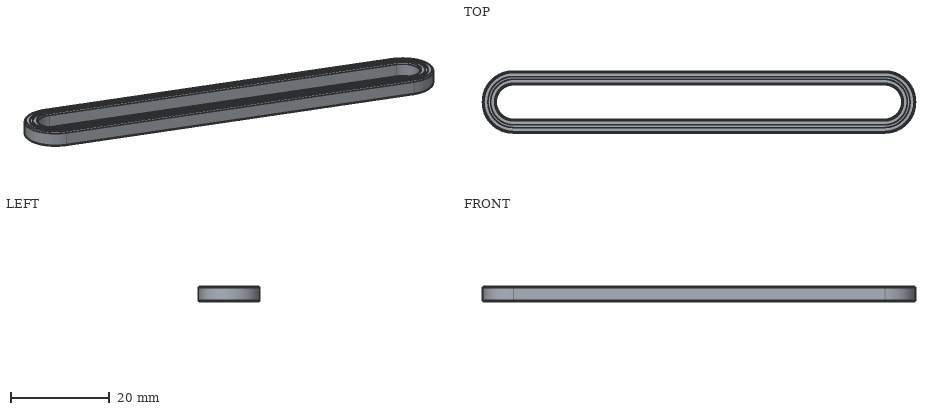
import cadquery as cq

length = 87.5
width = 12.5
height = 3.15
opening_width = 7.0

edge_chamfer = 0.3
groove_width = 0.55
groove_depth = 0.2

band_width = (width - opening_width) / 2
straight_length = length - width
groove_outer_inset = (band_width - groove_width) / 2


def stadium(inset, base, thickness):
    """Solid with rounded ends, its outline set inward from the outside of the ring."""
    diameter = width - 2 * inset
    return (
        cq.Workplane("XY")
        .workplane(offset=base)
        .slot2D(straight_length + diameter, diameter)
        .extrude(thickness)
    )


def stadium_ring(outer_inset, ring_width, base, thickness):
    """Closed band of constant width between two concentric stadium outlines."""
    outside = stadium(outer_inset, base, thickness)
    return outside.cut(stadium(outer_inset + ring_width, base, thickness))


band = stadium_ring(0, band_width, 0, height)
band = band.faces("<Z or >Z").chamfer(edge_chamfer)

groove = stadium_ring(groove_outer_inset, groove_width, height - groove_depth, groove_depth)

result = band.cut(groove)